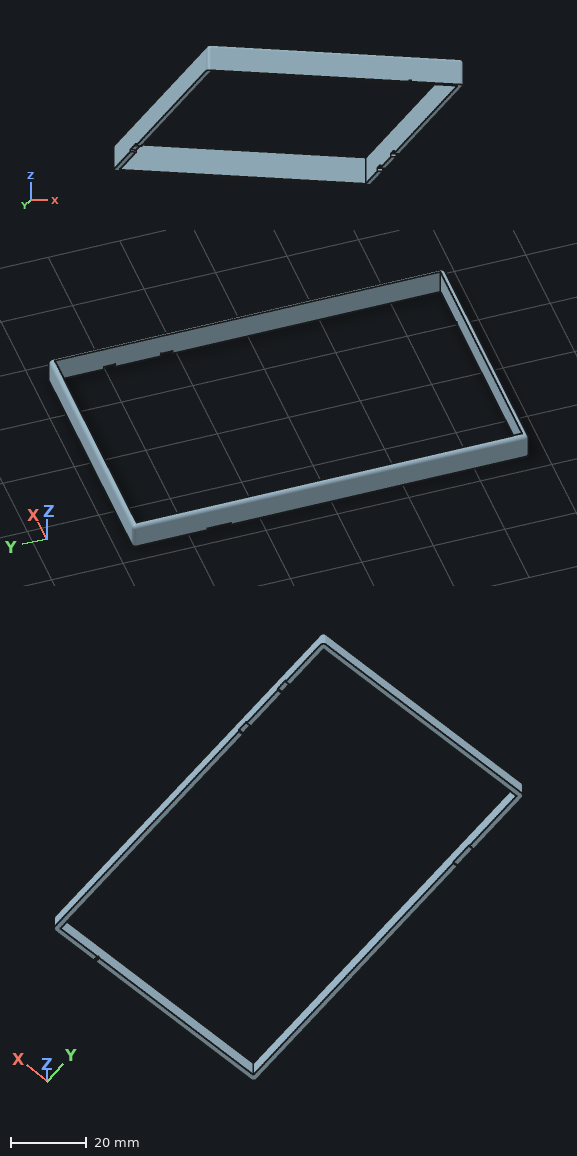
import cadquery as cq

WIDTH = 70.0
LENGTH = 111.0
HEIGHT = 7.2
WALL = 1.5
EDGE_RADIUS = 1.1

LEFT_NOTCH_DEPTH = 0.5
RIGHT_NOTCH_DEPTH = 0.9
LEFT_NOTCH_Y = 31.3
LEFT_NOTCH_WIDTH = 6.5
RIGHT_NOTCH_YS = (38.6, 22.6)
RIGHT_NOTCH_WIDTH = 3.2
FRONT_NOTCH_X = 20.3
FRONT_NOTCH_WIDTH = 0.5
FRONT_NOTCH_DEPTH = 0.3


def make_frame():
    """Open frame with rounded outer corners and a rounded outer top edge."""
    body = cq.Workplane("XY").box(WIDTH, LENGTH, HEIGHT, centered=(True, True, False))
    body = body.edges("|Z or >Z").fillet(EDGE_RADIUS)
    opening = cq.Workplane("XY").box(
        WIDTH - 2 * WALL, LENGTH - 2 * WALL, HEIGHT, centered=(True, True, False)
    )
    return body.cut(opening)


def make_notch(x, y, size_x, size_y, depth):
    """Block that cuts a notch upward from the bottom edge."""
    block = cq.Workplane("XY").box(size_x, size_y, depth, centered=(True, True, False))
    return block.translate((x, y, 0))


side_wall_x = (WIDTH - WALL) / 2
front_wall_y = -(LENGTH - WALL) / 2

result = make_frame()
result = result.cut(make_notch(-side_wall_x, LEFT_NOTCH_Y, WALL, LEFT_NOTCH_WIDTH, LEFT_NOTCH_DEPTH))
for notch_y in RIGHT_NOTCH_YS:
    result = result.cut(make_notch(side_wall_x, notch_y, WALL, RIGHT_NOTCH_WIDTH, RIGHT_NOTCH_DEPTH))
result = result.cut(
    make_notch(FRONT_NOTCH_X, front_wall_y, FRONT_NOTCH_WIDTH, WALL, FRONT_NOTCH_DEPTH)
)